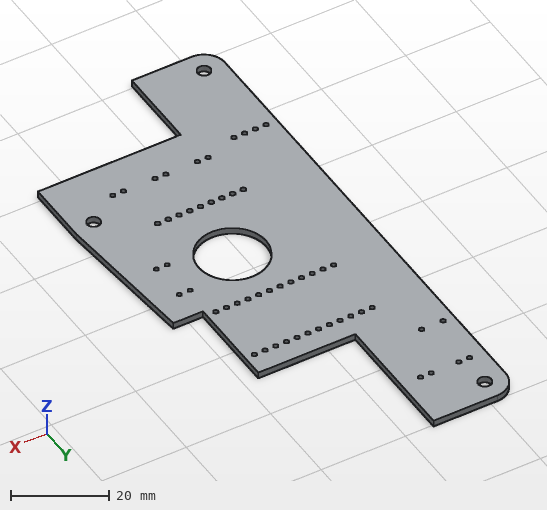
import cadquery as cq

WIDTH = 53.0
LENGTH = 121.0
THICKNESS = 1.6
CORNER_RADIUS = 5.0
LOWER_TAB_WIDTH = 19.1
LOWER_STEP_Y = 19.4
SLANT_BOTTOM_Y = 34.5
SLANT_TOP_X = 50.1
SLANT_TOP_Y = 68.1
MIDDLE_WIDTH = 43.1
MIDDLE_TOP_Y = 90.0
UPPER_TAB_WIDTH = 20.1

OPENING_DIAMETER = 16.0
OPENING_CENTER = (28.9, 56.1)
MOUNT_DIAMETER = 3.0
MOUNT_CENTERS = [
    (CORNER_RADIUS, CORNER_RADIUS),
    (CORNER_RADIUS, LENGTH - CORNER_RADIUS),
    (48.0, 33.2),
]

PITCH = 2.5
SMALL_LEAD = 1.0
MEDIUM_LEAD = 1.1
LARGE_LEAD = 1.19

EDGE_LEAD_X = 2.7
SOCKET_X = 13.0
SOCKET_TOP_Y = 84.8
SOCKET_ROW_SPACING = 6 * PITCH
SOCKET_COUNT = 12
UPPER_PAIR_Y = 108.2
LOWER_PAIR_Y = 28.2
RIGHT_PAIR_X = 42.0

LEAD_ROWS = [
    (SOCKET_X, SOCKET_TOP_Y, SOCKET_COUNT, PITCH, MEDIUM_LEAD),
    (SOCKET_X, SOCKET_TOP_Y - SOCKET_ROW_SPACING, SOCKET_COUNT, PITCH, MEDIUM_LEAD),
    (16.8, 40.3, 9, PITCH, LARGE_LEAD),
    (EDGE_LEAD_X, 25.7, 4, PITCH, MEDIUM_LEAD),
    (EDGE_LEAD_X, 95.7, 2, 2 * PITCH, MEDIUM_LEAD),
    (3.9, UPPER_PAIR_Y, 2, PITCH, MEDIUM_LEAD),
    (SOCKET_X, UPPER_PAIR_Y, 2, PITCH, MEDIUM_LEAD),
    (17.9, LOWER_PAIR_Y, 2, PITCH, MEDIUM_LEAD),
    (28.0, LOWER_PAIR_Y, 2, PITCH, MEDIUM_LEAD),
    (38.0, LOWER_PAIR_Y, 2, PITCH, MEDIUM_LEAD),
    (RIGHT_PAIR_X, 61.2, 2, PITCH, SMALL_LEAD),
    (RIGHT_PAIR_X, 52.2, 2, PITCH, SMALL_LEAD),
]


def make_board():
    """Stepped flat plate with its two left corners rounded."""
    outline = [
        (0, 0),
        (LOWER_TAB_WIDTH, 0),
        (LOWER_TAB_WIDTH, LOWER_STEP_Y),
        (WIDTH, LOWER_STEP_Y),
        (WIDTH, SLANT_BOTTOM_Y),
        (SLANT_TOP_X, SLANT_TOP_Y),
        (MIDDLE_WIDTH, SLANT_TOP_Y),
        (MIDDLE_WIDTH, MIDDLE_TOP_Y),
        (UPPER_TAB_WIDTH, MIDDLE_TOP_Y),
        (UPPER_TAB_WIDTH, LENGTH),
        (0, LENGTH),
    ]
    board = cq.Workplane("XY").polyline(outline).close().extrude(THICKNESS)
    return board.faces("<X").edges("|Z").fillet(CORNER_RADIUS)


def drills(centers, diameter):
    """Cylinders through the full board thickness."""
    return cq.Workplane("XY").pushPoints(centers).circle(diameter / 2).extrude(THICKNESS)


def row_centers(first_x, y, count, spacing):
    return [(first_x + i * spacing, y) for i in range(count)]


result = make_board()
result = result.cut(drills([OPENING_CENTER], OPENING_DIAMETER))
result = result.cut(drills(MOUNT_CENTERS, MOUNT_DIAMETER))
for first_x, row_y, count, spacing, diameter in LEAD_ROWS:
    result = result.cut(drills(row_centers(first_x, row_y, count, spacing), diameter))